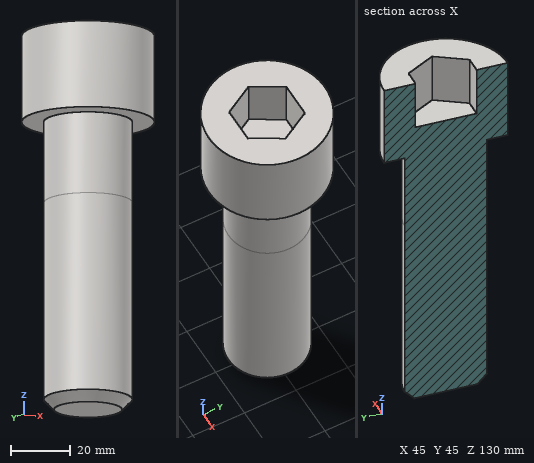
import cadquery as cq
import math

thread_diameter = 30.0
length = 100.0
thread_length = 72.0
tip_chamfer = 3.5

head_diameter = 1.5 * thread_diameter
head_height = thread_diameter

socket_across_flats = 22.16
socket_depth = 0.6 * head_height


def make_head():
    return cq.Workplane("XY").circle(head_diameter / 2).extrude(head_height)


def make_plain_shank():
    """Unthreaded length directly under the head."""
    plain_length = length - thread_length
    return cq.Workplane("XY").circle(thread_diameter / 2).extrude(-plain_length)


def make_threaded_shank():
    """Threaded length as a plain cylinder at the major diameter, chamfered at the tip."""
    tip = cq.Workplane("XY", origin=(0, 0, -length))
    thread = tip.circle(thread_diameter / 2).extrude(thread_length)
    return thread.faces("<Z").chamfer(tip_chamfer)


def make_socket():
    """Hexagonal key socket with two corners over the X axis."""
    across_corners = socket_across_flats / math.cos(math.pi / 6)
    head_top = cq.Workplane("XY", origin=(0, 0, head_height))
    return head_top.polygon(6, across_corners).extrude(-socket_depth)


shank = make_plain_shank().union(make_threaded_shank(), clean=False)
result = make_head().union(shank, clean=False).cut(make_socket(), clean=False)